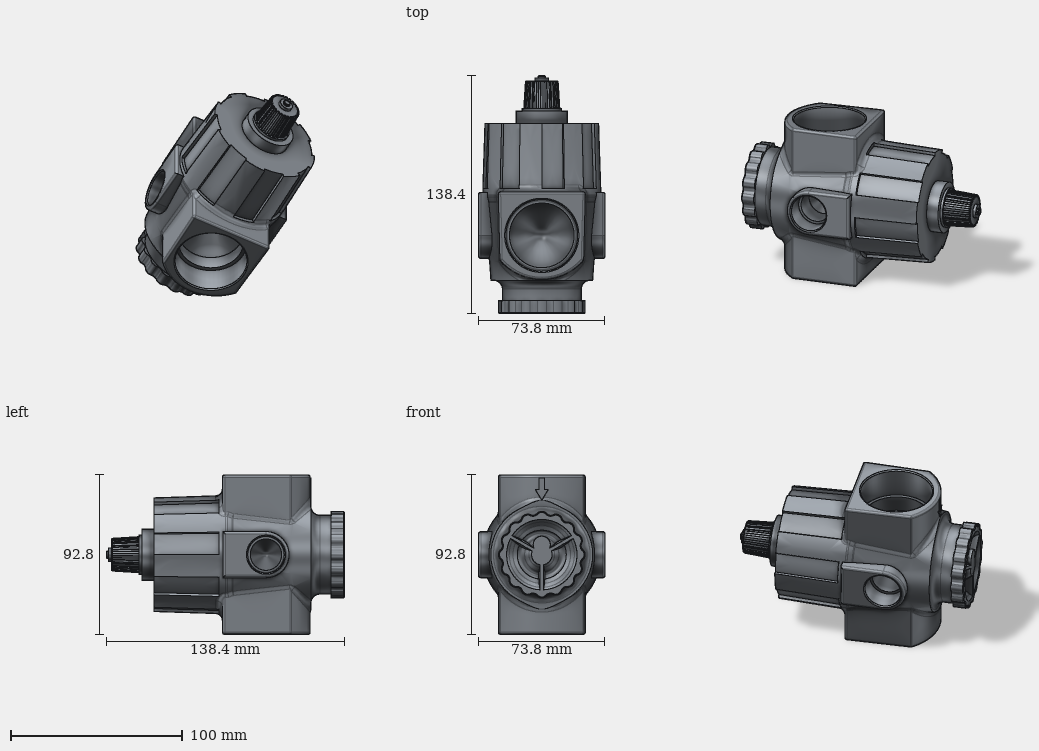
import cadquery as cq
import math


KNOB_FRONT = -45.5
KNOB_BACK = -37.9
BODY_FRONT = -26.2
BODY_BACK = 19.4
BONNET_FRONT = 23.0
POCKET_FRONT = 27.4
BONNET_BACK = 65.2
COLLAR_BACK = 72.2
FLANGE_BACK = 73.8
CAP_BACK = 89.8
WASHER_BACK = 91.6
TIP_BACK = 92.9

NECK_RADIUS = 23.0
NECK_FLARE = 5.1
BODY_FRONT_RADIUS = 29.6
BODY_BACK_RADIUS = 33.6
BONNET_RADIUS = 34.5
BONNET_BACK_RADIUS = 33.1

POCKET_COUNT = 8
POCKET_PITCH = 360 / POCKET_COUNT
POCKET_ANGLE = POCKET_PITCH / 2
POCKET_DEPTH = 1.8

PORT_REACH = 46.4
PORT_BACK = 25.3
PORT_BACK_HALF = 25.3
PORT_CORNER_HALF = 24.4
PORT_CORNER = -14.4
PORT_FRONT = -25.7
PORT_ROUND = 1.4
PORT_BORE_RADIUS = 20.9
PORT_STEP_RADIUS = 18.8
PORT_BORE_DEPTH = 17.5
BLEND_RADIUS = 4.2

GAUGE_REACH = 36.88
GAUGE_HALF = 13.4
GAUGE_BACK = 25.0
GAUGE_ROUND = 1.5
GAUGE_BORE_RADIUS = 10.7
GAUGE_STEP_RADIUS = 9.1
GAUGE_BORE_DEPTH = 13.1

BORE_CHAMFER = 0.7
CONE_HALF_ANGLE = 45
CONE_POINT = 0.7

ARROW_RAISE = 0.4
ARROW_TIP = 31.7
ARROW_HEAD_TOP = 37.8
ARROW_TOP = 44.5
ARROW_HEAD_HALF = 3.7
ARROW_SHAFT_HALF = 1.5

LOBE_COUNT = 16
LOBE_PITCH = 360 / LOBE_COUNT
LOBE_SHARE = 0.55
LOBE_PEAK_RADIUS = 25.2
LOBE_DIP_RADIUS = 23.4
LOBE_EDGE_RADIUS = 24.4
KNOB_CHAMFER = 0.5
HUB_RADIUS = 6.0
POINTER_RADIUS = 5.0
POINTER_OFFSET = 5.8
SPOKE_WIDTH = 2.0
SPOKE_DRAFT = 8
SPOKE_OVERLAP = 2.1
SPOKE_ANGLES = (30, 150, 270)

TROUGH_RADIUS = 20.5
WALL_RADIUS, WALL_DEPTH = 19.0, 2.1
SHELF_RADIUS, SHELF_DEPTH = 16.7, 4.2
FLOOR_OUTER_RADIUS, FLOOR_INNER_RADIUS, FLOOR_EDGE_DEPTH = 14.3, 10.0, 5.5
FLOOR_RADIUS, FLOOR_DEPTH = 12.2, 6.9
HUB_FLARE_RADIUS, HUB_FLARE_DEPTH = 7.5, 2.1

COLLAR_RADIUS = 15.0
FLANGE_RADIUS = 11.5
CAP_FRONT_RADIUS = 10.5
CAP_BACK_RADIUS = 9.5
CAP_CHAMFER = 0.4
TOOTH_COUNT = 24
TOOTH_PITCH = 360 / TOOTH_COUNT
GROOVE_DEPTH = 0.8
GROOVE_SHARE = 0.5
WASHER_RADIUS = 4.0
TIP_RADIUS = 2.1
TIP_CHAMFER = 0.4


def polar(radius, degrees):
    """Point in an X-Z section, the angle counted from +X toward +Z."""
    angle = math.radians(degrees)
    return radius * math.cos(angle), radius * math.sin(angle)


def section_at(y):
    """Work plane across the control axis: local x is X, local y is Z, normal is -Y."""
    return cq.Workplane("XZ", origin=(0, y, 0))


def turned(profile, angle=360):
    """Close an X-Y profile and turn it about the control axis."""
    return profile.close().revolve(angle, (0, 0, 0), (0, 1, 0))


def disc(front, back, radius):
    return section_at(back).circle(radius).extrude(back - front)


def turned_body():
    """Conical body and bonnet, its cone carried forward past the pipe ports to be trimmed later."""
    cone_slope = (BODY_BACK_RADIUS - BODY_FRONT_RADIUS) / (BODY_BACK - BODY_FRONT)
    return turned(
        cq.Workplane("XY")
        .moveTo(0, KNOB_BACK)
        .lineTo(BODY_FRONT_RADIUS - cone_slope * (BODY_FRONT - KNOB_BACK), KNOB_BACK)
        .lineTo(BODY_BACK_RADIUS, BODY_BACK)
        .lineTo(BONNET_RADIUS, BONNET_FRONT)
        .lineTo(BONNET_BACK_RADIUS, BONNET_BACK)
        .lineTo(0, BONNET_BACK)
    )


def neck():
    """Neck that carries the knob, flared into the front of the body."""
    flare_edge = NECK_RADIUS + NECK_FLARE
    flare_start = BODY_FRONT - NECK_FLARE
    diagonal = NECK_FLARE * math.sqrt(0.5)
    return turned(
        cq.Workplane("XY")
        .moveTo(0, KNOB_BACK)
        .lineTo(NECK_RADIUS, KNOB_BACK)
        .lineTo(NECK_RADIUS, flare_start)
        .threePointArc((flare_edge - diagonal, flare_start + diagonal), (flare_edge, BODY_FRONT))
        .lineTo(0, BODY_FRONT)
    )


def bonnet_pocket():
    """Shallow grip pocket cut parallel to the bonnet cone, from -X toward +Z."""
    taper = (BONNET_RADIUS - BONNET_BACK_RADIUS) / (BONNET_BACK - BONNET_FRONT)
    front_radius = BONNET_BACK_RADIUS + taper * (BONNET_BACK - POCKET_FRONT)
    return turned(
        cq.Workplane("XY")
        .moveTo(-front_radius + POCKET_DEPTH, POCKET_FRONT)
        .lineTo(-front_radius - POCKET_DEPTH, POCKET_FRONT)
        .lineTo(-BONNET_BACK_RADIUS - POCKET_DEPTH, BONNET_BACK)
        .lineTo(-BONNET_BACK_RADIUS + POCKET_DEPTH, BONNET_BACK),
        POCKET_ANGLE,
    )


def port_block():
    """Block carrying both pipe ports, with a bowed front face."""
    return (
        cq.Workplane("XY")
        .workplane(offset=-PORT_REACH)
        .moveTo(-PORT_CORNER_HALF, PORT_CORNER)
        .threePointArc((0, PORT_FRONT), (PORT_CORNER_HALF, PORT_CORNER))
        .lineTo(PORT_BACK_HALF, PORT_BACK)
        .lineTo(-PORT_BACK_HALF, PORT_BACK)
        .close()
        .extrude(2 * PORT_REACH)
        .edges("|Z")
        .fillet(PORT_ROUND)
        .faces("<Z or >Z")
        .edges()
        .fillet(PORT_ROUND)
    )


def blended_ports():
    """Body and port block joined by a fillet, with the front trimmed flat."""
    joined = turned_body().union(port_block())
    seams = [
        edge
        for edge in joined.edges().vals()
        if edge.geomType() != "LINE"
        and PORT_FRONT < edge.Center().y <= PORT_BACK
        and max(abs(end.Z) for end in edge.Vertices()) < BONNET_RADIUS
    ]
    front_half = cq.Workplane("XY").box(4 * PORT_REACH, 2 * PORT_REACH, 4 * PORT_REACH)
    front_waste = front_half.translate((0, BODY_FRONT - PORT_REACH, 0))
    return joined.newObject(seams).fillet(BLEND_RADIUS).cut(front_waste)


def gauge_block():
    """Block carrying both gauge ports, with a round front end."""
    return (
        cq.Workplane("YZ")
        .workplane(offset=-GAUGE_REACH)
        .moveTo(GAUGE_BACK, -GAUGE_HALF)
        .lineTo(GAUGE_BACK, GAUGE_HALF)
        .lineTo(0, GAUGE_HALF)
        .threePointArc((-GAUGE_HALF, 0), (0, -GAUGE_HALF))
        .close()
        .extrude(2 * GAUGE_REACH)
        .faces("<X or >X")
        .edges()
        .fillet(GAUGE_ROUND)
    )


def port_bore(reach, bore_radius, step_radius, depth):
    """Stepped bore along +Z with a conical bottom pointing at the origin."""
    cone_base = CONE_POINT + step_radius / math.tan(math.radians(CONE_HALF_ANGLE))
    return (
        cq.Workplane("XZ")
        .moveTo(0, CONE_POINT)
        .lineTo(step_radius, cone_base)
        .lineTo(step_radius, reach - depth)
        .lineTo(bore_radius, reach - depth)
        .lineTo(bore_radius, reach - BORE_CHAMFER)
        .lineTo(bore_radius + BORE_CHAMFER, reach)
        .lineTo(0, reach)
        .close()
        .revolve(360, (0, 0, 0), (0, 1, 0))
    )


def flow_arrow():
    """Raised arrow on the bowed front of the upper port."""
    return (
        section_at(0)
        .moveTo(0, ARROW_TIP)
        .lineTo(ARROW_HEAD_HALF, ARROW_HEAD_TOP)
        .lineTo(ARROW_SHAFT_HALF, ARROW_HEAD_TOP)
        .lineTo(ARROW_SHAFT_HALF, ARROW_TOP)
        .lineTo(-ARROW_SHAFT_HALF, ARROW_TOP)
        .lineTo(-ARROW_SHAFT_HALF, ARROW_HEAD_TOP)
        .lineTo(-ARROW_HEAD_HALF, ARROW_HEAD_TOP)
        .close()
        .extrude(ARROW_RAISE - PORT_FRONT)
    )


def make_housing():
    housing = blended_ports().union(neck()).union(gauge_block())
    pocket = bonnet_pocket()
    for index in range(POCKET_COUNT):
        housing = housing.cut(pocket.rotate((0, 0, 0), (0, 1, 0), index * POCKET_PITCH))
    housing = housing.union(flow_arrow())
    pipe = port_bore(PORT_REACH, PORT_BORE_RADIUS, PORT_STEP_RADIUS, PORT_BORE_DEPTH)
    gauge = port_bore(GAUGE_REACH, GAUGE_BORE_RADIUS, GAUGE_STEP_RADIUS, GAUGE_BORE_DEPTH)
    bores = [
        bore.rotate((0, 0, 0), (0, 1, 0), turn + first_turn).val()
        for bore, first_turn in ((pipe, 0), (gauge, 90))
        for turn in (0, 180)
    ]
    return cq.Workplane(housing.val().cut(*bores).Solids()[0])


def knob_blank():
    """Scalloped disc: rounded lobes joined by hollow arcs."""
    half_lobe = LOBE_PITCH * LOBE_SHARE / 2
    outline = section_at(KNOB_BACK).moveTo(*polar(LOBE_EDGE_RADIUS, -half_lobe))
    for index in range(LOBE_COUNT):
        peak = index * LOBE_PITCH
        outline = outline.threePointArc(
            polar(LOBE_PEAK_RADIUS, peak), polar(LOBE_EDGE_RADIUS, peak + half_lobe)
        ).threePointArc(
            polar(LOBE_DIP_RADIUS, peak + LOBE_PITCH / 2),
            polar(LOBE_EDGE_RADIUS, peak + LOBE_PITCH - half_lobe),
        )
    return outline.close().extrude(KNOB_BACK - KNOB_FRONT).faces("<Y").chamfer(KNOB_CHAMFER)


def knob_trough():
    """Turned trough between the knob rim and its hub."""
    return turned(
        cq.Workplane("XY")
        .moveTo(HUB_RADIUS, KNOB_FRONT)
        .lineTo(TROUGH_RADIUS, KNOB_FRONT)
        .lineTo(WALL_RADIUS, KNOB_FRONT + WALL_DEPTH)
        .lineTo(SHELF_RADIUS, KNOB_FRONT + SHELF_DEPTH)
        .lineTo(FLOOR_OUTER_RADIUS, KNOB_FRONT + FLOOR_EDGE_DEPTH)
        .threePointArc(
            (FLOOR_RADIUS, KNOB_FRONT + FLOOR_DEPTH),
            (FLOOR_INNER_RADIUS, KNOB_FRONT + FLOOR_EDGE_DEPTH),
        )
        .lineTo(HUB_FLARE_RADIUS, KNOB_FRONT + HUB_FLARE_DEPTH)
    )


def make_knob():
    """Knob with a trough crossed by three spokes and a round pointer lobe beside the hub."""
    depth = KNOB_BACK - KNOB_FRONT
    core = section_at(KNOB_FRONT).center(0, POINTER_OFFSET).circle(POINTER_RADIUS).extrude(-depth)
    for angle in SPOKE_ANGLES:
        spoke = (
            section_at(KNOB_FRONT)
            .center(TROUGH_RADIUS / 2, 0)
            .rect(TROUGH_RADIUS + 2 * SPOKE_OVERLAP, SPOKE_WIDTH)
            .extrude(-depth, taper=-SPOKE_DRAFT)
            .rotate((0, 0, 0), (0, 1, 0), -angle)
        )
        core = core.union(spoke)
    return knob_blank().cut(knob_trough().cut(core))


def cap_outline(y, radius):
    """Toothed outline of the knurled cap at one station."""
    points = []
    for index in range(TOOTH_COUNT):
        start = 90 + (index - GROOVE_SHARE / 2) * TOOTH_PITCH
        groove_end = start + GROOVE_SHARE * TOOTH_PITCH
        points += [
            polar(radius, start),
            polar(radius - GROOVE_DEPTH, start),
            polar(radius - GROOVE_DEPTH, groove_end),
            polar(radius, groove_end),
        ]
    return cq.Wire.makePolygon([cq.Vector(x, y, z) for x, z in points], close=True)


def make_cap():
    sections = [
        cap_outline(FLANGE_BACK, CAP_FRONT_RADIUS),
        cap_outline(CAP_BACK - CAP_CHAMFER, CAP_BACK_RADIUS),
        cap_outline(CAP_BACK, CAP_BACK_RADIUS - CAP_CHAMFER),
    ]
    return cq.Workplane(cq.Solid.makeLoft(sections, True))


housing = make_housing()
knob = make_knob()
collar = disc(BONNET_BACK, COLLAR_BACK, COLLAR_RADIUS)
flange = disc(COLLAR_BACK, FLANGE_BACK, FLANGE_RADIUS)
cap = make_cap()
washer = disc(CAP_BACK, WASHER_BACK, WASHER_RADIUS)
tip = disc(WASHER_BACK, TIP_BACK, TIP_RADIUS).faces(">Y").chamfer(TIP_CHAMFER)

result = cq.Compound.makeCompound(
    [housing.val(), knob.val(), collar.val(), flange.val(), cap.val(), washer.val(), tip.val()]
)